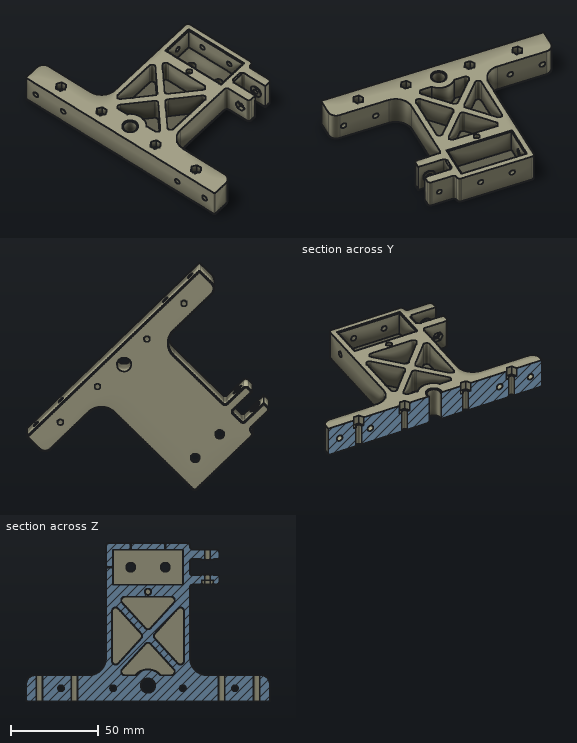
import cadquery as cq
import math

bar_length = 140.0
overall_depth = 91.1
height = 19.0
bar_depth = 15.1
column_width = 48.5
bar_back_radius = 5.0
bar_front_radius = 0.7
column_corner_radius = 2.1
inside_corner_radius = 10.0
base_chamfer = 0.5

rim_chamfer = 0.5
pocket_width = 40.0
pocket_depth = 20.0
pocket_y = 77.1
pocket_floor = 4.0
floor_hole_diameter = 5.0
wall_hole_diameter = 3.4
wall_hole_z = 11.2
pocket_hole_pitch = 19.9

lug_end_x = 41.0
lug_outer_span = 20.2
lug_gap = 9.2
lug_end_radius = 2.0
lug_root_radius = 1.5
gap_root_radius = 1.1
gap_chamfer = 0.8
pivot_x = 34.2
pivot_z = height / 2
pivot_pad_diameter = 7.4
pivot_pad_height = 0.4
pivot_hole_diameter = 3.1
pivot_nut_depth = 2.5

brace_width = 4.0
brace_area_width = 41.2
brace_area_back = 60.0
brace_area_front = bar_depth
brace_corner_radius = 2.0
brace_floor = 4.0

shaft_y = 9.1
shaft_diameter = 8.1
shaft_chamfer = 0.5
shaft_boss_radius = 9.4

bolt_positions = (20.0, 50.0)
bolt_y = bar_depth / 2
bolt_hole_diameter = 3.4
nut_across_flats = 5.6
nut_depth = 5.6
front_hole_positions = (42.3, 62.5)
front_hole_z = 9.5
front_hole_diameter = 3.5
blind_hole_y = 63.0
blind_hole_diameter = 3.5
blind_hole_depth = 14.0

nut_corner_diameter = nut_across_flats / math.cos(math.pi / 6)
half_column = column_width / 2


def block(x_min, x_max, y_min, y_max, z_min, z_max):
    """Axis-aligned box given by its limits."""
    size = (x_max - x_min, y_max - y_min, z_max - z_min)
    return cq.Workplane("XY").box(*size, centered=False).translate((x_min, y_min, z_min))


def y_cylinder(x, z, diameter, y_min, y_max):
    """Cylinder along Y between two Y positions."""
    plane = cq.Workplane("XZ", origin=(x, y_min, z))
    return plane.circle(diameter / 2).extrude(y_min - y_max)


def vertical_edge(x, y):
    """Selector for the vertical edge at one corner of the outline."""
    return cq.selectors.NearestToPointSelector((x, y, height / 2))


def make_body():
    """T-shaped block with two lugs, its outline corners rounded and its bottom edge chamfered."""
    half_bar = bar_length / 2
    sides = (-1, 1)
    body = block(-half_bar, half_bar, 0, bar_depth, 0, height)
    body = body.union(block(-half_column, half_column, 0, overall_depth, 0, height))
    lug_corners = []
    lug_roots = []
    gap_roots = []
    for side in sides:
        inner_y = pocket_y + side * lug_gap / 2
        outer_y = pocket_y + side * lug_outer_span / 2
        y_min, y_max = sorted((inner_y, outer_y))
        body = body.union(block(0, lug_end_x, y_min, y_max, 0, height))
        lug_corners.append((lug_end_x, outer_y))
        lug_roots.append((half_column, outer_y))
        gap_roots.append((half_column, inner_y))

    rounded_corners = (
        (bar_back_radius, [(side * half_bar, bar_depth) for side in sides]),
        (bar_front_radius, [(side * half_bar, 0) for side in sides]),
        (inside_corner_radius, [(side * half_column, bar_depth) for side in sides]),
        (column_corner_radius, [(side * half_column, overall_depth) for side in sides]),
        (lug_end_radius, lug_corners),
        (lug_root_radius, lug_roots),
        (gap_root_radius, gap_roots),
    )
    for radius, corners in rounded_corners:
        for x, y in corners:
            body = body.edges(vertical_edge(x, y)).fillet(radius)
    return body.faces("<Z").edges().chamfer(base_chamfer)


def cut_gap_chamfer(body):
    """Bevel on the top edge of the column wall between the lugs."""
    width = lug_gap - 2 * gap_root_radius
    bevel = (
        cq.Workplane("XZ", origin=(half_column, pocket_y + width / 2, height))
        .polyline([(-gap_chamfer, 0), (0, 0), (0, -gap_chamfer)])
        .close()
        .extrude(width)
    )
    return body.cut(bevel)


def add_pivot(body):
    """Pads on the inner lug faces, a hole through both lugs and a nut seat in the front lug."""
    lug_front = pocket_y - lug_outer_span / 2
    for side in (-1, 1):
        face_y = pocket_y + side * lug_gap / 2
        y_min, y_max = sorted((face_y, face_y - side * pivot_pad_height))
        body = body.union(y_cylinder(pivot_x, pivot_z, pivot_pad_diameter, y_min, y_max))
    lug_back = lug_front + lug_outer_span
    body = body.cut(y_cylinder(pivot_x, pivot_z, pivot_hole_diameter, lug_front, lug_back))
    nut_seat = cq.Workplane("XZ", origin=(pivot_x, lug_front, pivot_z)).polygon(6, nut_corner_diameter)
    return body.cut(nut_seat.extrude(-pivot_nut_depth))


def cut_pocket(body):
    """Rectangular pocket with a bevelled rim and screw holes in its floor and walls."""
    pocket = (
        cq.Workplane("XY", origin=(0, pocket_y, pocket_floor))
        .rect(pocket_width, pocket_depth)
        .extrude(height - pocket_floor)
    )
    rim = (
        cq.Workplane("XY", origin=(0, pocket_y, height))
        .rect(pocket_width + 2 * rim_chamfer, pocket_depth + 2 * rim_chamfer)
        .extrude(-rim_chamfer, taper=45)
    )
    body = body.cut(pocket).cut(rim)
    for x in (-pocket_hole_pitch / 2, pocket_hole_pitch / 2):
        floor_hole = cq.Workplane("XY", origin=(x, pocket_y, 0)).circle(floor_hole_diameter / 2)
        body = body.cut(floor_hole.extrude(height))
        body = body.cut(y_cylinder(x, wall_hole_z, wall_hole_diameter, pocket_y, overall_depth))
    side_hole = cq.Workplane("YZ", origin=(-half_column, pocket_y, wall_hole_z))
    return body.cut(side_hole.circle(wall_hole_diameter / 2).extrude(half_column))


def cut_brace_recesses(body):
    """Four triangular recesses that leave an X of braces, clear of the shaft boss."""
    half_width = brace_area_width / 2
    half_length = (brace_area_back - brace_area_front) / 2
    center_y = (brace_area_back + brace_area_front) / 2
    diagonal = math.hypot(half_width, half_length)
    inset_y = brace_width / 2 * diagonal / half_width
    inset_x = brace_width / 2 * diagonal / half_length
    across_x = half_width - inset_x
    across_y = half_length - inset_y

    triangles = []
    for side in (-1, 1):
        end_y = side * half_length
        end_x = side * half_width
        triangles.append([(0, side * inset_y), (across_x, end_y), (-across_x, end_y)])
        triangles.append([(side * inset_x, 0), (end_x, across_y), (end_x, -across_y)])

    boss = cq.Workplane("XY", origin=(0, shaft_y, 0)).circle(shaft_boss_radius).extrude(height)
    for corners in triangles:
        recess = cq.Workplane("XY", origin=(0, center_y, brace_floor)).polyline(corners).close()
        recess = recess.extrude(height - brace_floor).edges("|Z").fillet(brace_corner_radius)
        body = body.cut(recess.cut(boss))
    return body


def cut_bar_holes(body):
    """Shaft hole, bolt holes with nut seats, front screw holes and the blind hole."""
    shaft = cq.Workplane("XY", origin=(0, shaft_y, 0)).circle(shaft_diameter / 2).extrude(height)
    bevel = (
        cq.Workplane("XY", origin=(0, shaft_y, height))
        .circle(shaft_diameter / 2 + shaft_chamfer)
        .extrude(-shaft_chamfer, taper=45)
    )
    body = body.cut(shaft).cut(bevel)
    for side in (-1, 1):
        for x in bolt_positions:
            bolt = cq.Workplane("XY", origin=(side * x, bolt_y, 0)).circle(bolt_hole_diameter / 2)
            nut = cq.Workplane("XY", origin=(side * x, bolt_y, height)).polygon(6, nut_corner_diameter)
            body = body.cut(bolt.extrude(height)).cut(nut.extrude(-nut_depth))
        for x in front_hole_positions:
            body = body.cut(y_cylinder(side * x, front_hole_z, front_hole_diameter, 0, bar_depth))
    blind = cq.Workplane("XY", origin=(0, blind_hole_y, height)).circle(blind_hole_diameter / 2)
    return body.cut(blind.extrude(-blind_hole_depth))


result = make_body()
result = cut_gap_chamfer(result)
result = add_pivot(result)
result = cut_pocket(result)
result = cut_brace_recesses(result)
result = cut_bar_holes(result)